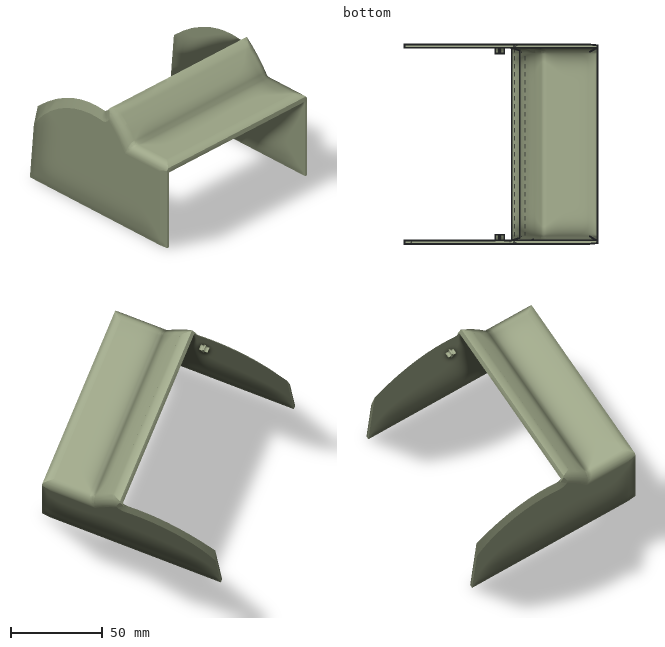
import cadquery as cq
import math

length = 105.0
width = 108.6
height = 69.14
wall = 2.0
inner_face = width / 2 - wall

plate_top = 52.3
outer_rounding = 5.4
inner_rounding = 2.7
valley_radius = 3.5

hood_radius = 75.4
hood_high = (56.5, 73.25)
hood_low = (76.4, plate_top)
hood_overrun_angle = 0.1
block_overlap_x = 68.0
trim_margin = 5.0

lip_length = 5.0
lip_start = length - lip_length
lip_radius = 8.0
rear_taper = 0.5

lip_tip = (59.8, height)
lip_outer_middle = (62.5, 68.05)
lip_outer_end = (65.4, 65.8)
lip_under_tip = (58.2, 66.9)
lip_under_middle = (60.6, 66.4)
lip_under_end = (62.6, 65.2)
hood_corner = (57.3, 65.6)
lip_side_start = (60.6, 62.7)
front_taper = 1.4

front_lean = math.tan(math.radians(5.0))
outer_rim_front = 34.9
outer_rim = [(17.4, 50.2), (34.4, 58.6), (54.8, 60.2)]
outer_blend = [(58.6, 60.7), lip_side_start]
inner_rim_front = 46.2
inner_rim = [(17.4, 56.4), (34.0, 64.0), (55.3, 65.5)]
inner_blend = [(56.4, 65.9), (57.9, 67.1)]
wall_joint = (73.0, 45.0)

pin_centre = (51.8, 52.0)
pin_length = 3.1
pin_reach_x = 2.5
pin_reach_z = 2.1
pin_tip_half = 0.4
pin_hollow = 0.6


def profile(start):
    return cq.Workplane("XZ").moveTo(*start)


def extrude_across(outline, breadth):
    """Extrude a closed XZ outline to both sides of the middle plane."""
    return outline.extrude(breadth / 2, both=True)


def polar(centre, radius, angle):
    return (centre[0] + radius * math.cos(angle), centre[1] + radius * math.sin(angle))


def arc_centre(start, end, radius):
    """Centre of the arc from start to end that bulges up and to the rear."""
    run_x = end[0] - start[0]
    run_z = end[1] - start[1]
    chord = math.hypot(run_x, run_z)
    reach = math.sqrt(radius**2 - chord**2 / 4)
    middle_x = (start[0] + end[0]) / 2
    middle_z = (start[1] + end[1]) / 2
    return (middle_x + run_z / chord * reach, middle_z - run_x / chord * reach)


def rounded_block(inset):
    """Hood and plate as one solid block, set in from the outer surface, with rounded sides."""
    rounding = inner_rounding if inset else outer_rounding
    breadth = width - 2 * inset
    top = plate_top - inset
    radius = hood_radius - inset
    centre = arc_centre(hood_high, hood_low, hood_radius)
    high_angle = math.atan2(hood_high[1] - centre[1], hood_high[0] - centre[0])
    valley_angle = math.asin((top - centre[1]) / radius)
    high = polar(centre, radius, high_angle)
    middle = polar(centre, radius, valley_angle)
    low = polar(centre, radius, valley_angle - hood_overrun_angle)
    hood = extrude_across(
        profile((high[0], 0)).lineTo(*high).threePointArc(middle, low).lineTo(low[0], 0).close(), breadth
    ).edges("%CIRCLE").fillet(rounding)
    rear = length + trim_margin
    plate = extrude_across(
        profile((block_overlap_x, 0)).lineTo(block_overlap_x, top).lineTo(rear, top).lineTo(rear, 0).close(),
        breadth,
    ).edges("|X and >Z").fillet(rounding)
    block = hood.union(plate)
    valley = block.edges(cq.selectors.NearestToPointSelector((middle[0], 0, middle[1])))
    return valley.fillet(valley_radius)


def trim_to_lips(front_outline, inset):
    """Limit of the block: a front lip outline continued over the top and down the rear lip."""
    top = plate_top - inset
    radius = lip_radius - inset
    centre = (lip_start, top - radius)
    end_angle = math.acos(lip_length / radius)
    middle = polar(centre, radius, (math.pi / 2 + end_angle) / 2)
    outline = (
        front_outline.lineTo(block_overlap_x, height + trim_margin)
        .lineTo(lip_start, height + trim_margin)
        .lineTo(lip_start, top)
        .threePointArc(middle, polar(centre, radius, end_angle))
        .lineTo(length, 0)
        .close()
    )
    return extrude_across(outline, width)


def taper_wedge(start, direction, taper):
    """Wedge that leans a side face in by taper over one lip length from start, along direction."""
    along_x, along_z = direction
    plane = cq.Plane(
        origin=(start[0], -width / 2, start[1]), xDir=(along_x, 0, along_z), normal=(along_z, 0, -along_x)
    )
    reach = 2 * lip_length
    return (
        cq.Workplane(plane)
        .lineTo(reach, -taper * reach / lip_length)
        .lineTo(reach, 0)
        .close()
        .extrude(height, both=True)
    )


def rear_wedge():
    return taper_wedge((lip_start, 0), (1, 0), rear_taper)


def front_wedge():
    run = (hood_corner[0] - lip_side_start[0], hood_corner[1] - lip_side_start[1])
    run_length = math.hypot(*run)
    return taper_wedge(lip_side_start, (run[0] / run_length, run[1] / run_length), front_taper)


def cover():
    """Hood and plate with their rounded side walls, hollowed from below."""
    outer_front = (
        profile((lip_side_start[0], 0)).lineTo(*lip_side_start).lineTo(*hood_corner).lineTo(*lip_tip)
        .threePointArc(lip_outer_middle, lip_outer_end)
    )
    cavity_front = hood_high[0] - trim_margin
    inner_front = (
        profile((cavity_front, 0)).lineTo(cavity_front, lip_under_tip[1]).lineTo(*lip_under_tip)
        .threePointArc(lip_under_middle, lip_under_end)
    )
    outer = rounded_block(0).intersect(trim_to_lips(outer_front, 0))
    for wedge in (rear_wedge(), front_wedge()):
        outer = outer.cut(wedge).cut(wedge.mirror("XZ"))
    inner = rounded_block(wall).intersect(trim_to_lips(inner_front, wall))
    return outer.cut(inner)


def wall_outline(y, front_height, rim, blend):
    """Closed outline of a front side wall at one y."""
    front = (front_lean * front_height, front_height)
    return (
        cq.Workplane("XZ", origin=(0, y, 0))
        .lineTo(*front)
        .spline(rim, includeCurrent=True)
        .threePointArc(*blend)
        .lineTo(*wall_joint)
        .lineTo(wall_joint[0], 0)
        .close()
        .val()
    )


def front_wall():
    """Side wall in front of the hood, on the -Y side."""
    outer = wall_outline(-width / 2, outer_rim_front, outer_rim, outer_blend)
    inner = wall_outline(-inner_face, inner_rim_front, inner_rim, inner_blend)
    return cq.Workplane(cq.Solid.makeLoft([outer, inner], True))


def pin():
    """Locating pin on the -Y side wall."""
    outline = cq.Workplane("XZ", origin=(pin_centre[0], -inner_face, pin_centre[1]))
    outline = outline.moveTo(pin_reach_x, -pin_tip_half)
    for side_x, side_z in ((1, 1), (-1, 1), (-1, -1), (1, -1)):
        tip_x = (side_x * pin_reach_x, side_z * pin_tip_half)
        tip_z = (side_x * pin_tip_half, side_z * pin_reach_z)
        first, last = (tip_x, tip_z) if side_x == side_z else (tip_z, tip_x)
        outline = outline.lineTo(*first).threePointArc((side_x * pin_hollow, side_z * pin_hollow), last)
    return outline.close().extrude(-pin_length)


side = front_wall().union(pin())
result = cover().union(side).union(side.mirror("XZ"))